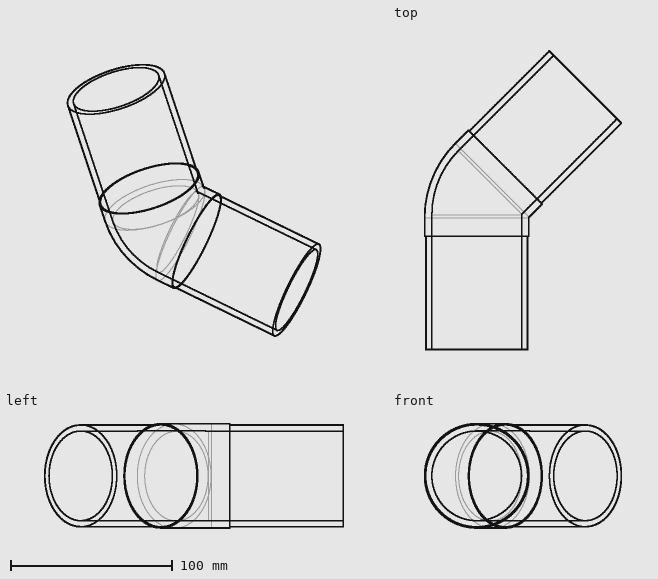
import cadquery as cq
import math

bend_angle = 45.0
leg_length = 95.0

pipe_diameter = 63.0
pipe_length = 70.0
bore_diameter = 55.4

elbow_diameter = 64.52
throat_radius = 0.5


def bend_radius(bend_diameter):
    """Centreline radius of a bend, which leaves the throat radius at its inner corner."""
    return bend_diameter / 2 + throat_radius


def bend_start(centre_radius):
    """Distance from an open end to where the bend takes over from the straight leg."""
    return leg_length - centre_radius * math.tan(math.radians(bend_angle / 2))


def bent_section(diameter, centre_radius):
    """Solid round bend between the two legs."""
    return (
        cq.Workplane("XZ", origin=(0, bend_start(centre_radius) - leg_length, 0))
        .circle(diameter / 2)
        .revolve(bend_angle, (centre_radius, 1, 0), (centre_radius, 0, 0))
    )


def straight_rod(diameter, start, end):
    """Solid rod on the inlet axis, with both ends measured from the open end."""
    return (
        cq.Workplane("XZ", origin=(0, start - leg_length, 0))
        .circle(diameter / 2)
        .extrude(start - end)
    )


def outlet_copy(inlet):
    """The same leg on the outlet side: turned end for end and swung by the bend angle."""
    return inlet.rotate((0, 0, 0), (0, 0, 1), 180 - bend_angle)


def elbow_outside():
    """Outer skin: two pipes, each with a wider collar, joined by the bend."""
    centre_radius = bend_radius(elbow_diameter)
    pipe = straight_rod(pipe_diameter, 0, pipe_length)
    collar = straight_rod(elbow_diameter, pipe_length, bend_start(centre_radius))
    leg = pipe.union(collar)
    bend = bent_section(elbow_diameter, centre_radius)
    return leg.union(bend).union(outlet_copy(leg))


def elbow_cavity():
    """Through passage: a straight bore in each leg, joined by a bend of the same diameter."""
    centre_radius = bend_radius(bore_diameter)
    leg = straight_rod(bore_diameter, 0, bend_start(centre_radius))
    bend = bent_section(bore_diameter, centre_radius)
    return leg.union(bend).union(outlet_copy(leg))


result = elbow_outside().cut(elbow_cavity())